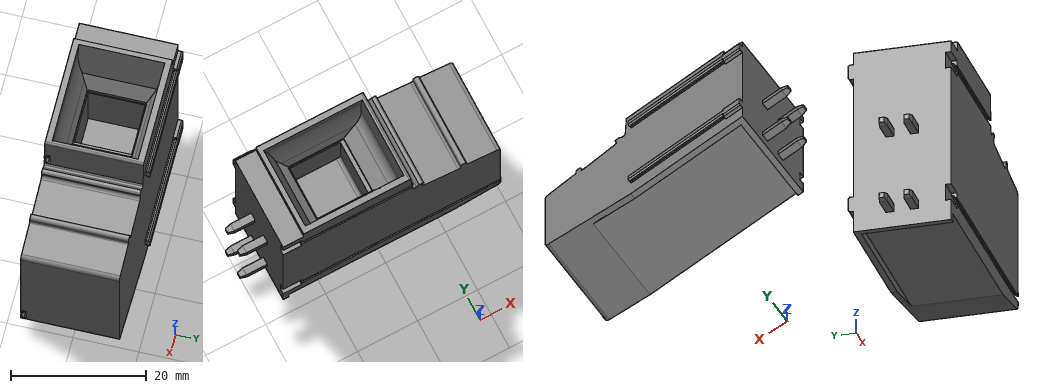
import cadquery as cq
import math


TOTAL_LENGTH = 40.8
LENGTH = 36.25
WIDTH = 14.97
TOTAL_WIDTH = 15.75
HEIGHT = 31.0
SHOULDER_HEIGHT = 29.5
SLOPE = math.tan(math.radians(10))
CORNER_RADIUS = 0.75
BOTTOM_FLAT_END = 20.5
BACK_WALL = 0.98
RECESS_HEIGHT = 1.35

COLLAR_START = 3.43
COLLAR_TOP_END = 21.35
COLLAR_FOOT_END = 21.55
COLLAR_FOOT = 25.15
COLLAR_CORNER = 0.33

NOTCH_X = 21.95
NOTCH_Z = 24.65
NOTCH_FILLET = 0.3
HOOK_START = 22.7
HOOK_END = 23.55
HOOK_TOP = 25.4
HOOK_CORNER = 0.2
THROAT_X = 23.17
THROAT_Z = 24.52
THROAT_FILLET = 0.57

DECK_HEIGHT = 23.83
REAR_DECK_HEIGHT = 23.15
BEAD_START = 29.62
BEAD_WIDTH = 0.98
BEAD_TOP = 24.25
BEAD_FRONT_FILLET = 0.35
BEAD_REAR_FILLET = 0.15

FUNNEL_DEPTH = 7.87
FUNNEL_START = 4.2
FUNNEL_END = 20.65
FRONT_KNEE_X = 5.75
FRONT_WALL_ANGLE = 75
MOUTH_START = 7.22
MOUTH_END = 16.5
REAR_WALL_ANGLE = 85
REAR_WALL_DEPTH = 4.55
REAR_RAMP_ANGLE = 30
REAR_RAMP_LENGTH = 2.33
RIM_WALL = 0.98
SIDE_WALL_DEPTH = 1.65
SIDE_RAMP_ANGLE = 60
SIDE_CURVE_WIDTH = 1.35
SIDE_RAMP_WIDTH = 0.65

SHELF_DROP = 0.57
WELL_START = 7.4
WELL_END = 15.85
WELL_WIDTH = 8.65
WELL_DEPTH = 8.15
WELL_FILLET = 0.65

KEY_HEIGHTS = (4.6, 26.45)
KEY_BLOCK_LENGTH = 3.05
KEY_NECK = 1.0
KEY_STRAIGHT = 0.2
KEY_FLARE = 0.35
GROOVE_DEPTH = 0.85
GROOVE_WIDE = 1.85
POCKET_HEIGHT = 2.55
LIP_HEIGHT = 2.05
LIP_OVERHANG = 0.12
RAIL_WIDE = 1.67
RAIL_END = 20.45
RAIL_CHAMFER = 0.25
BLOCK_HEIGHT = 2.4

PIN_SIZE = 1.22
PIN_TIP_SIZE = 0.78
PIN_LENGTH = TOTAL_LENGTH - LENGTH - LIP_OVERHANG
PIN_TIP_LENGTH = 0.98
PIN_PITCH = 3.8
PIN_HEIGHTS = (3.15, 15.6)


def box(x_range, y_range, z_range):
    (x0, x1), (y0, y1), (z0, z1) = x_range, y_range, z_range
    return cq.Workplane("XY", origin=(x0, y0, z0)).box(x1 - x0, y1 - y0, z1 - z0, centered=False)


def span(center, size):
    """Start and end of a length centred on a place."""
    return center - size / 2, center + size / 2


def extrude_along(points, x0, x1):
    """Extrude a closed YZ outline from x0 to x1."""
    return cq.Workplane("YZ", origin=(x0, 0, 0)).polyline(points).close().extrude(x1 - x0)


def mirrored(points, axis_z):
    """Close a half outline of (y, half height) points into a full one about z = axis_z."""
    upper = [(y, axis_z + half) for y, half in points]
    lower = [(y, axis_z - half) for y, half in reversed(points)]
    return upper + lower


def fillet_across(solid, x, z, radius):
    """Round the edge that runs across the width at (x, z)."""
    reach = 0.05
    low = (x - reach, -reach, z - reach)
    high = (x + reach, WIDTH + reach, z + reach)
    return solid.edges(cq.selectors.BoxSelector(low, high)).fillet(radius)


def make_housing():
    bead_end = BEAD_START + BEAD_WIDTH
    bead_shoulder = BEAD_TOP - BEAD_WIDTH / 2
    deck_end_height = DECK_HEIGHT - (BEAD_START - THROAT_X) * SLOPE
    far_top = REAR_DECK_HEIGHT - (LENGTH - bead_end) * SLOPE
    far_bottom = (LENGTH - BOTTOM_FLAT_END) * SLOPE
    housing = (
        cq.Workplane("XZ")
        .moveTo(0, 0)
        .lineTo(0, SHOULDER_HEIGHT)
        .lineTo(COLLAR_START, SHOULDER_HEIGHT)
        .lineTo(COLLAR_START, HEIGHT)
        .lineTo(COLLAR_TOP_END, HEIGHT)
        .lineTo(COLLAR_FOOT_END, COLLAR_FOOT)
        .lineTo(NOTCH_X, NOTCH_Z)
        .lineTo(HOOK_START, HOOK_TOP)
        .lineTo(HOOK_END, HOOK_TOP)
        .lineTo(THROAT_X, THROAT_Z)
        .lineTo(THROAT_X, DECK_HEIGHT)
        .lineTo(BEAD_START, deck_end_height)
        .lineTo(BEAD_START, bead_shoulder)
        .threePointArc((BEAD_START + BEAD_WIDTH / 2, BEAD_TOP), (bead_end, bead_shoulder))
        .lineTo(bead_end, REAR_DECK_HEIGHT)
        .lineTo(LENGTH, far_top)
        .lineTo(LENGTH, far_bottom)
        .lineTo(BOTTOM_FLAT_END, 0)
        .close()
        .extrude(-WIDTH)
    )
    rounded_edges = (
        (COLLAR_TOP_END, HEIGHT, COLLAR_CORNER),
        (NOTCH_X, NOTCH_Z, NOTCH_FILLET),
        (HOOK_END, HOOK_TOP, HOOK_CORNER),
        (THROAT_X, DECK_HEIGHT, THROAT_FILLET),
        (BEAD_START, deck_end_height, BEAD_FRONT_FILLET),
        (bead_end, REAR_DECK_HEIGHT, BEAD_REAR_FILLET),
        (LENGTH, far_top, CORNER_RADIUS),
        (LENGTH, far_bottom, CORNER_RADIUS),
    )
    for x, z, radius in rounded_edges:
        housing = fillet_across(housing, x, z, radius)
    return housing


def make_bottom_recess():
    """Open on the -Y side; leaves the back wall and a +Y wall of the same thickness."""
    return box((BACK_WALL, LENGTH), (0, WIDTH - BACK_WALL), (0, RECESS_HEIGHT))


def concave_arc(sketch, start, start_angle, end, end_angle):
    """Draw a concave arc whose steepness falls from start_angle to end_angle."""
    turn = math.radians(start_angle - end_angle)
    chord = math.dist(start, end)
    sagitta = chord / 2 * math.tan(turn / 4)
    side = math.copysign(1, start[0] - end[0])
    normal = (side * abs(end[1] - start[1]) / chord, -abs(end[0] - start[0]) / chord)
    middle = [(a + b) / 2 + sagitta * n for a, b, n in zip(start, end, normal)]
    return sketch.threePointArc(tuple(middle), end)


def make_funnel():
    """The space shared by a lengthwise and a crosswise profile."""
    floor = HEIGHT - FUNNEL_DEPTH

    front_knee_z = HEIGHT - (FRONT_KNEE_X - FUNNEL_START) * math.tan(math.radians(FRONT_WALL_ANGLE))
    wall_foot = (
        FUNNEL_END - REAR_WALL_DEPTH / math.tan(math.radians(REAR_WALL_ANGLE)),
        HEIGHT - REAR_WALL_DEPTH,
    )
    ramp_top = (
        MOUTH_END + REAR_RAMP_LENGTH,
        floor + REAR_RAMP_LENGTH * math.tan(math.radians(REAR_RAMP_ANGLE)),
    )
    lengthwise = (
        cq.Workplane("XZ")
        .moveTo(MOUTH_END, floor)
        .lineTo(MOUTH_START, floor)
        .lineTo(FRONT_KNEE_X, front_knee_z)
        .lineTo(FUNNEL_START, HEIGHT)
        .lineTo(FUNNEL_END, HEIGHT)
        .lineTo(*wall_foot)
    )
    lengthwise = concave_arc(lengthwise, wall_foot, REAR_WALL_ANGLE, ramp_top, REAR_RAMP_ANGLE)
    lengthwise = lengthwise.close().extrude(-WIDTH)

    ramp_top_z = floor + SIDE_RAMP_WIDTH * math.tan(math.radians(SIDE_RAMP_ANGLE))
    curve_inset = RIM_WALL + SIDE_CURVE_WIDTH
    mouth_inset = curve_inset + SIDE_RAMP_WIDTH
    left_foot = (RIM_WALL, HEIGHT - SIDE_WALL_DEPTH)
    right_foot = (WIDTH - RIM_WALL, HEIGHT - SIDE_WALL_DEPTH)
    bend = math.radians(90 - SIDE_RAMP_ANGLE)
    curve_radius = SIDE_CURVE_WIDTH / (1 - math.cos(bend))
    mid_inset = RIM_WALL + curve_radius * (1 - math.cos(bend / 2))
    mid_z = left_foot[1] - (left_foot[1] - ramp_top_z) * math.sin(bend / 2) / math.sin(bend)
    crosswise = (
        cq.Workplane("YZ")
        .moveTo(mouth_inset, floor)
        .lineTo(curve_inset, ramp_top_z)
        .threePointArc((mid_inset, mid_z), left_foot)
        .lineTo(RIM_WALL, HEIGHT)
        .lineTo(WIDTH - RIM_WALL, HEIGHT)
        .lineTo(*right_foot)
        .threePointArc((WIDTH - mid_inset, mid_z), (WIDTH - curve_inset, ramp_top_z))
        .lineTo(WIDTH - mouth_inset, floor)
        .close()
        .extrude(LENGTH)
    )
    shelf = box(
        (MOUTH_START, MOUTH_END), (mouth_inset, WIDTH - mouth_inset), (floor - SHELF_DROP, floor)
    )
    return lengthwise.intersect(crosswise).union(shelf)


def make_well():
    shelf_z = HEIGHT - FUNNEL_DEPTH - SHELF_DROP
    well = box((WELL_START, WELL_END), span(WIDTH / 2, WELL_WIDTH), (shelf_z - WELL_DEPTH, shelf_z))
    return well.faces("<Z").edges(">X").fillet(WELL_FILLET)


def make_lip(z, end):
    """Bar that carries the groove slightly past the housing end."""
    return box((KEY_BLOCK_LENGTH, end + LIP_OVERHANG), (0, GROOVE_DEPTH), span(z, LIP_HEIGHT))


def make_groove(z, end):
    """Dovetail groove with a taller pocket at the mounting face."""
    half_outline = [
        (0, KEY_NECK / 2),
        (KEY_STRAIGHT, KEY_NECK / 2),
        (KEY_STRAIGHT + KEY_FLARE, GROOVE_WIDE / 2),
        (GROOVE_DEPTH, GROOVE_WIDE / 2),
    ]
    groove = extrude_along(mirrored(half_outline, z), 0, end + LIP_OVERHANG)
    pocket = box((0, KEY_BLOCK_LENGTH), (0, GROOVE_DEPTH), span(z, POCKET_HEIGHT))
    return groove.union(pocket)


def make_rail(z):
    """Dovetail rail with a taller block at the mounting face."""
    half_outline = [
        (WIDTH, KEY_NECK / 2),
        (WIDTH + KEY_STRAIGHT, KEY_NECK / 2),
        (TOTAL_WIDTH - RAIL_CHAMFER, RAIL_WIDE / 2),
        (TOTAL_WIDTH, RAIL_WIDE / 2 - RAIL_CHAMFER),
    ]
    rail = extrude_along(mirrored(half_outline, z), 0, RAIL_END)
    block = box((0, KEY_BLOCK_LENGTH), (WIDTH, TOTAL_WIDTH), span(z, BLOCK_HEIGHT))
    return rail.union(block.faces(">Y").edges("|X").chamfer(RAIL_CHAMFER))


def make_pin(y, z):
    shank_length = PIN_LENGTH - PIN_TIP_LENGTH
    shank = box((-shank_length, 0), span(y, PIN_SIZE), span(z, PIN_SIZE))
    tip = (
        cq.Workplane("YZ", origin=(-PIN_LENGTH, y, z))
        .rect(PIN_TIP_SIZE, PIN_TIP_SIZE)
        .workplane(offset=PIN_TIP_LENGTH)
        .rect(PIN_SIZE, PIN_SIZE)
        .loft(ruled=True)
    )
    return shank.union(tip)


result = make_housing().cut(make_bottom_recess()).cut(make_funnel()).cut(make_well())

for key_z, groove_end in zip(KEY_HEIGHTS, (LENGTH, COLLAR_FOOT_END)):
    result = result.union(make_lip(key_z, groove_end)).cut(make_groove(key_z, groove_end))
    result = result.union(make_rail(key_z))

for pin_z in PIN_HEIGHTS:
    for pin_y in span(WIDTH / 2, PIN_PITCH):
        result = result.union(make_pin(pin_y, pin_z))